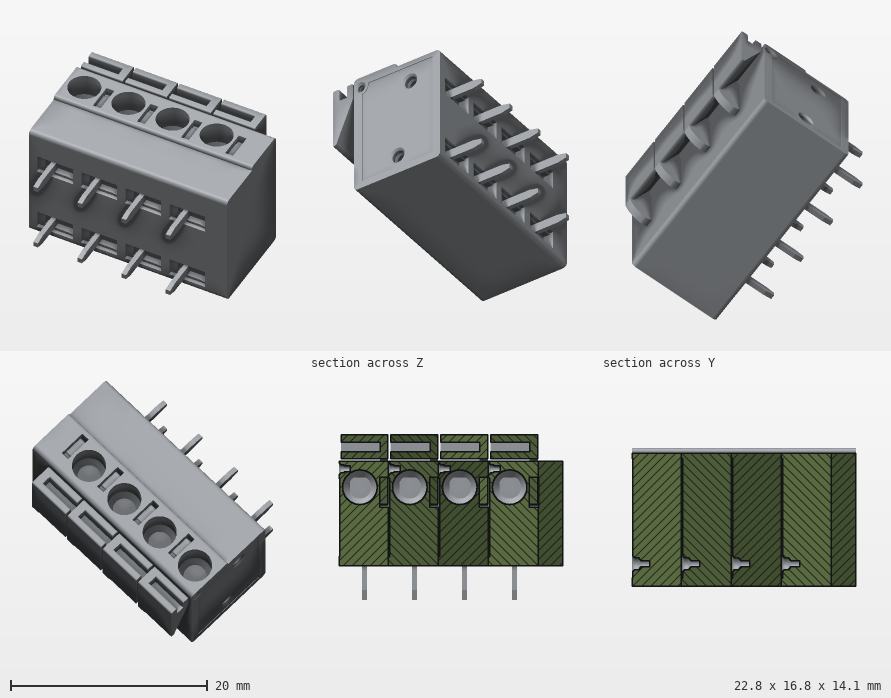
import cadquery as cq
import math


pole_count = 4
row_length = 22.82
end_plate_width = 2.5
pitch = (row_length - end_plate_width) / pole_count

depth = 10.63
height = 14.05
step_y = 5.39
step_drop = 0.48
front_top = height - step_drop
corner_radius = 0.5
step_radius = 0.35

recess_depth = 0.07
recess_y = (0.94, 9.63)
recess_z = (0.85, 13.0)
recess_notch_radius = 0.98

peg_hole_positions = [(3.79, 11.1), (5.35, 2.3)]
peg_hole_radii = (1.0, 0.7, 0.5)
peg_hole_depths = (0.27, 0.7, 0.91, 1.83)
small_hole_position = (9.85, 12.82)
small_hole_radii = (0.66, 0.39, 0.3)
small_hole_depths = (0.2, 0.45, 0.57, 1.15)

pin_row_z = (1.85, 9.47)
pocket_start_x = 0.91
pocket_height = 2.05
pocket_depth = 0.43
inner_start_x = 1.65
inner_height = 1.45
inner_depth = 1.15
flare_start_x = 4.3
flare_height = 1.71

pin_x = 2.62
pin_width = 0.52
pin_height = 1.0
pin_length = 3.47
pin_tip_length = 1.0
pin_tip_height = 0.55

wire_x = 2.15
wire_y = 7.99
wire_bore_radius = 1.73
wire_floor_radius = 1.16
wire_bore_depth = 2.5
wire_floor_depth = 3.08
wire_flat_x = 1.03
wire_flat_y = 0.98

plate_start_x = 4.18
plate_end_x = 5.02
plate_bottom = 5.0
plate_top = 10.89
plate_shoulder_rise = 0.23
plate_front_y = 6.07
lobe_start_z = 6.69
lobe_side = (12.69, 5.45)
lobe_bottom = (11.4, 4.72)
lobe_inner = (11.02, 4.77)
handle_start_x = 0.2
handle_y = (10.86, 13.33)
handle_top = 13.87
handle_edge_radius = 0.18
wedge_top_z = 12.0
wedge_tip_z = 6.94
wedge_tip_middle = (13.05, 6.94)
wedge_tip_end = (12.85, 7.2)
groove_y = (11.64, 12.55)
groove_depth = 1.45

slot_y = (6.0, 8.97)
arm_top = height - 0.62
arm_flat_y = (6.6, 8.28)
arm_front_radius = 0.37
arm_back_radius = 0.15
arm_ridge_y = 8.75
arm_ridge_rise = 0.1
arm_back_drop = 0.1


def round_edge(body, point, radius):
    """Fillet the edge whose midpoint lies nearest to the given point."""
    return body.edges(cq.selectors.NearestToPointSelector(point)).fillet(radius)


def side_profile(width):
    """Housing outline in the YZ plane with its rounded edges, extruded along +X."""
    corners = [(0, 0), (depth, 0), (depth, height), (0, front_top)]
    step = [(step_y, height), (step_y, front_top)]
    outline = [*corners[:3], *step, corners[3]]
    body = cq.Workplane("YZ").polyline(outline).close().extrude(width)
    for y, z in corners:
        body = round_edge(body, (width / 2, y, z), corner_radius)
    return round_edge(body, (width / 2, step_y, height), step_radius)


def box_between(x_range, y_range, z_range):
    """Box spanning the given ranges."""
    size = [high - low for low, high in (x_range, y_range, z_range)]
    return cq.Workplane("XY").box(*size, centered=False).translate((x_range[0], y_range[0], z_range[0]))


def stepped_hole(position, radii, depths):
    """Cutter for a countersunk blind hole with two bores, going +X from the side face."""
    mouth, bore, tip = radii
    bore_start, shoulder_start, shoulder_end, floor = depths
    profile = [
        (0, 0),
        (0, mouth),
        (bore_start, bore),
        (shoulder_start, bore),
        (shoulder_end, tip),
        (floor, tip),
        (floor, 0),
    ]
    y, z = position
    cutter = cq.Workplane("XY").polyline(profile).close().revolve(360, (0, 0, 0), (1, 0, 0))
    return cutter.translate((0, y, z))


def side_recess():
    """Shallow rectangular recess that leaves a round land at the small hole."""
    panel = box_between((0, recess_depth), recess_y, recess_z)
    land = cq.Workplane("YZ").center(*small_hole_position).circle(recess_notch_radius).extrude(recess_depth)
    return panel.cut(land)


def pin_pocket(z):
    """Stepped pocket around one pin; its inner part flares toward the +X side."""
    half_height = pocket_height / 2
    outer = box_between((pocket_start_x, pitch), (0, pocket_depth), (z - half_height, z + half_height))
    half_inner = inner_height / 2
    half_flare = flare_height / 2
    inner = (
        cq.Workplane("XZ")
        .polyline(
            [
                (inner_start_x, z - half_inner),
                (flare_start_x, z - half_inner),
                (pitch, z - half_flare),
                (pitch, z + half_flare),
                (flare_start_x, z + half_inner),
                (inner_start_x, z + half_inner),
            ]
        )
        .close()
        .extrude(-inner_depth)
    )
    return outer.union(inner)


def solder_pin(z):
    """Flat pin from the pocket floor, tapered in height at its free end."""
    half_height = pin_height / 2
    half_tip = pin_tip_height / 2
    taper_y = pin_tip_length - pin_length
    return (
        cq.Workplane("YZ", origin=(pin_x - pin_width / 2, 0, 0))
        .polyline(
            [
                (inner_depth, z - half_height),
                (taper_y, z - half_height),
                (-pin_length, z - half_tip),
                (-pin_length, z + half_tip),
                (taper_y, z + half_height),
                (inner_depth, z + half_height),
            ]
        )
        .close()
        .extrude(pin_width)
    )


def wire_entry():
    """Round wire bore with a conical end; a flat-sided floor block fills the front right of the cone."""
    slope = (wire_bore_radius - wire_floor_radius) / (wire_floor_depth - wire_bore_depth)
    tip_depth = wire_bore_depth + (wire_bore_radius - wire_flat_y) / slope
    profile = [
        (0, 0),
        (-wire_bore_radius, 0),
        (-wire_bore_radius, -wire_bore_depth),
        (-wire_flat_y, -tip_depth),
        (0, -tip_depth),
    ]
    bore = cq.Workplane("XZ").polyline(profile).close().revolve(360, (0, 0, 0), (0, 1, 0))
    floor_block = box_between(
        (-wire_flat_x, wire_bore_radius),
        (-wire_bore_radius, wire_flat_y),
        (-tip_depth, -wire_floor_depth),
    )
    return bore.cut(floor_block).translate((wire_x, wire_y, height))


def lever_cavity():
    """Space for the lever plate and arm, open at the back, the top and the +X side."""
    x_range = (plate_start_x, pitch)
    lower = box_between(x_range, (slot_y[0], depth), (plate_bottom, plate_top))
    slot = box_between(x_range, slot_y, (plate_bottom, height))
    return lower.union(slot)


def make_pole():
    """Pole housing with its two solder pins."""
    pole = side_profile(pitch).cut(side_recess())
    for position in peg_hole_positions:
        pole = pole.cut(stepped_hole(position, peg_hole_radii, peg_hole_depths))
    pole = pole.cut(stepped_hole(small_hole_position, small_hole_radii, small_hole_depths))
    pole = pole.cut(wire_entry()).cut(lever_cavity())
    for z in pin_row_z:
        pole = pole.cut(pin_pocket(z)).union(solder_pin(z))
    return pole


def lever_plate():
    """Thin plate of the lever: rounded lower lobe, body inside the housing and arm under the slot."""
    handle_front, handle_back = handle_y
    arm_front, arm_back = arm_flat_y
    arm_front_z = arm_top - arm_front_radius
    arm_valley_z = arm_top - arm_back_radius
    diagonal = math.sqrt(0.5)
    return (
        cq.Workplane("YZ", origin=(plate_start_x, 0, 0))
        .moveTo(depth, plate_bottom)
        .lineTo(plate_front_y, plate_bottom)
        .lineTo(plate_front_y, plate_top)
        .lineTo(arm_front - arm_front_radius, arm_front_z)
        .threePointArc(
            (arm_front - diagonal * arm_front_radius, arm_front_z + diagonal * arm_front_radius),
            (arm_front, arm_top),
        )
        .lineTo(arm_back, arm_top)
        .threePointArc(
            (arm_back + diagonal * arm_back_radius, arm_valley_z + diagonal * arm_back_radius),
            (arm_back + arm_back_radius, arm_valley_z),
        )
        .lineTo(arm_ridge_y, arm_valley_z + arm_ridge_rise)
        .lineTo(slot_y[1], arm_valley_z - arm_back_drop)
        .lineTo(slot_y[1], plate_top)
        .lineTo(depth, plate_top)
        .lineTo(handle_front, plate_top + plate_shoulder_rise)
        .lineTo(handle_front, handle_top)
        .lineTo(handle_back, handle_top)
        .lineTo(handle_back, lobe_start_z)
        .threePointArc(lobe_side, lobe_bottom)
        .threePointArc(lobe_inner, (depth, plate_bottom))
        .close()
        .extrude(plate_end_x - plate_start_x)
    )


def lever_handle():
    """Wide wedge-shaped handle with a rounded lower tip."""
    handle_front, handle_back = handle_y
    return (
        cq.Workplane("YZ", origin=(handle_start_x, 0, 0))
        .moveTo(handle_front, wedge_top_z)
        .lineTo(handle_front, handle_top)
        .lineTo(handle_back, handle_top)
        .lineTo(handle_back, wedge_tip_z)
        .threePointArc(wedge_tip_middle, wedge_tip_end)
        .close()
        .extrude(plate_end_x - handle_start_x)
    )


def make_lever():
    """Lever: plate and handle in one piece, with a groove open toward -X and rounded top edges."""
    groove = box_between((handle_start_x, plate_start_x), groove_y, (handle_top - groove_depth, handle_top))
    lever = lever_plate().union(lever_handle()).cut(groove)
    groove_middle_x = (handle_start_x + plate_start_x) / 2
    for y in (*handle_y, *groove_y):
        lever = round_edge(lever, (groove_middle_x, y, handle_top), handle_edge_radius)
    return lever


pole = make_pole()
lever = make_lever()
poles = []
levers = []
for index in range(pole_count):
    offset = (index * pitch, 0, 0)
    poles.append(pole.translate(offset).val())
    levers.append(lever.translate(offset).val())

end_plate = side_profile(end_plate_width).translate((pole_count * pitch, 0, 0))

result = cq.Compound.makeCompound([*poles, *levers, end_plate.val()])